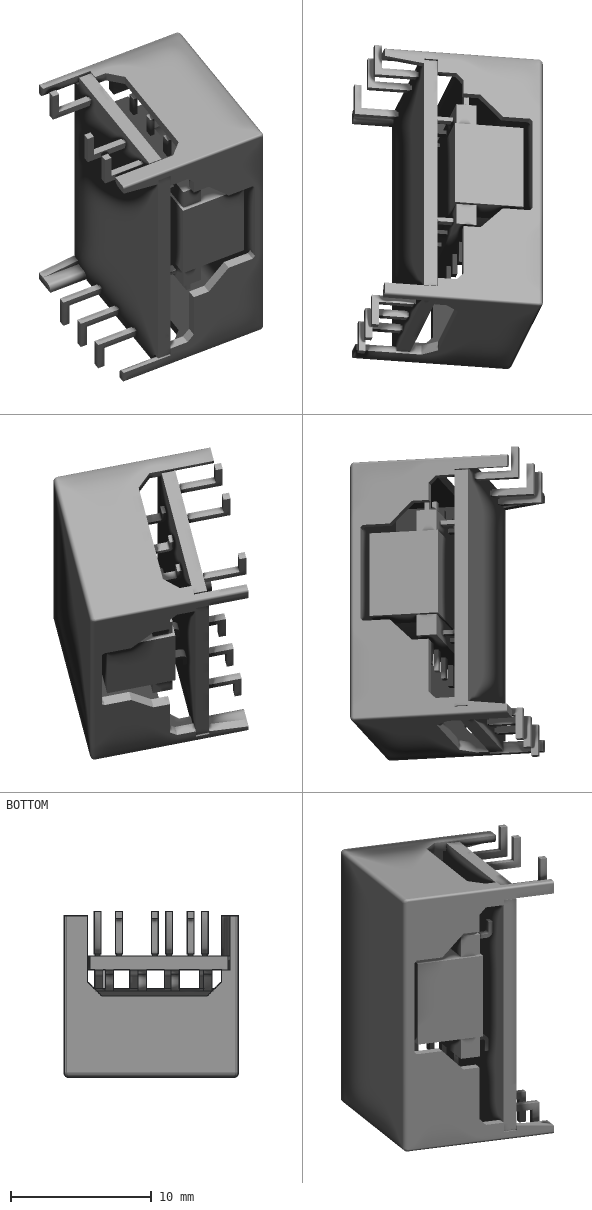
import cadquery as cq


CASE_X = 12.4
CASE_Z = 18.9
CASE_BACK = 11.8
WALL = 0.7
EDGE_ROUND = 0.17
BACK_ROUND = 0.32
CAVITY_ROUND = 0.75
LEG_TIP = 0.32
LEG_THICK = 0.6
LEG_ROUND = 0.42
SIDE_LEG = 0.9
TOP_LEG = 1.22
BOTTOM_LEG = 1.68

BOARD_X = 12.22
BOARD_Z = 18.73
BOARD_FRONT = 3.17
BOARD_BACK = 4.15
NOTCH_GAP = 0.15
NOTCH_GAP_Z = 0.06

HOOK_REACH = 0.35

OPENING_DEPTH = 6.03
END_BEVEL = 1.0
TOP_MARGIN = 1.35
SIDE_BEVEL = 0.5
SIDE_MARGIN = 1.3
FAR_SIDE_MARGIN = 1.55
WINDOW_BACK = 11.0
WINDOW_BEVEL = 0.19
WINDOW_HALF = 3.5
WINDOW_MOUTH_HALF = 5.08
WINDOW_SLOPE_FRONT = 7.25
WINDOW_SLOPE_BACK = 8.86

PIN = 0.5
PIN_PITCH = 2.55
PIN_REACH = 10.5
PIN_SHANK_Z = 8.25
PIN_NECK = 0.15
PIN_NECK_INSET = 0.074
TOP_PINS = [-1.5 * PIN_PITCH, 0.5 * PIN_PITCH, 1.5 * PIN_PITCH]
BOTTOM_MIDDLE_PIN = 0.25
BOTTOM_PINS = [BOTTOM_MIDDLE_PIN + i * PIN_PITCH for i in (-1, 0, 1)]

COIL_Z = 1.3
CORE_X = 11.13
CORE_Z = 6.05
CORE_FRONT = 5.5
CORE_BACK = 10.48
RAIL_X = 10.67
RAIL_Z = 1.51
RAIL_GAP = 0.05
RAIL_FRONT = 5.65
RAIL_BACK = 7.1
WINDING_RADIUS = 4.25
WINDING_BACK = 9.91
LEAD_WIDTH = 0.6
LEAD_THICK = 0.3
LEAD_ROUND = 0.15
LEAD_FOOT = 1.18
LEAD_OFFSET = 0.71
POST_Y = 6.47
POST_THICK = 0.34
POST_LENGTH = 1.53
LEADS_PER_ROW = 4
TOP_LEAD_PITCH = 2.48
BOTTOM_LEAD_PITCH = 2.33
BOTTOM_LEAD_SHIFT = 0.52

HALF_X = CASE_X / 2
HALF_Z = CASE_Z / 2
RAIL_INNER = CORE_Z / 2 + RAIL_GAP
OVERLAP = 0.05


def block(x0, x1, y0, y1, z0, z1):
    return cq.Workplane("XY").box(x1 - x0, y1 - y0, z1 - z0, centered=False).translate((x0, y0, z0))


def case_body():
    """Solid envelope with rounded outer edges, and the box hollowed from it, open at the front."""
    outer = block(-HALF_X, HALF_X, LEG_TIP, CASE_BACK, -HALF_Z, HALF_Z)
    outer = outer.edges("|Y").fillet(EDGE_ROUND)
    outer = outer.faces(">Y").edges().fillet(BACK_ROUND)
    cavity = block(WALL - HALF_X, HALF_X - WALL, LEG_TIP, WINDOW_BACK, WALL - HALF_Z, HALF_Z - WALL)
    cavity = cavity.faces(">Y").edges("|X").fillet(CAVITY_ROUND)
    return outer, outer.cut(cavity)


def end_opening(left_margin, right_margin, z0):
    """Bevelled opening through the top or bottom wall, starting at height z0."""
    left = left_margin - HALF_X
    right = HALF_X - right_margin
    return (
        cq.Workplane("XY", origin=(0, 0, z0))
        .moveTo(left, BOARD_BACK)
        .lineTo(left, OPENING_DEPTH - END_BEVEL)
        .lineTo(left + END_BEVEL, OPENING_DEPTH)
        .lineTo(right - END_BEVEL, OPENING_DEPTH)
        .lineTo(right, OPENING_DEPTH - END_BEVEL)
        .lineTo(right, BOARD_BACK)
        .close()
        .extrude(WALL)
    )


def side_opening(margin, x0):
    """Stepped window through a side wall, starting at x0."""
    reach = HALF_Z - margin
    upper = [
        (BOARD_BACK, reach),
        (OPENING_DEPTH - SIDE_BEVEL, reach),
        (OPENING_DEPTH, reach - SIDE_BEVEL),
        (OPENING_DEPTH, COIL_Z + WINDOW_MOUTH_HALF),
        (WINDOW_SLOPE_FRONT, COIL_Z + WINDOW_MOUTH_HALF),
        (WINDOW_SLOPE_BACK, COIL_Z + WINDOW_HALF),
        (WINDOW_BACK - WINDOW_BEVEL, COIL_Z + WINDOW_HALF),
        (WINDOW_BACK, COIL_Z + WINDOW_HALF - WINDOW_BEVEL),
    ]
    lower = [
        (WINDOW_BACK, COIL_Z - WINDOW_HALF + WINDOW_BEVEL),
        (WINDOW_BACK - WINDOW_BEVEL, COIL_Z - WINDOW_HALF),
        (WINDOW_SLOPE_BACK, COIL_Z - WINDOW_HALF),
        (WINDOW_SLOPE_FRONT, COIL_Z - WINDOW_MOUTH_HALF),
        (OPENING_DEPTH, COIL_Z - WINDOW_MOUTH_HALF),
        (OPENING_DEPTH, SIDE_BEVEL - reach),
        (OPENING_DEPTH - SIDE_BEVEL, -reach),
        (BOARD_BACK, -reach),
    ]
    return cq.Workplane("YZ", origin=(x0, 0, 0)).polyline(upper + lower).close().extrude(WALL)


def corner_block(side_x, side_z, size_x, size_z, y0, y1):
    """Block filling one case corner, rounded on its inner edge."""
    x_edges = sorted((side_x * HALF_X, side_x * (HALF_X - size_x)))
    z_edges = sorted((side_z * HALF_Z, side_z * (HALF_Z - size_z)))
    inner_edge = ("<" if side_x > 0 else ">") + "X"
    inner_face = ("<" if side_z > 0 else ">") + "Z"
    body = block(*x_edges, y0, y1, *z_edges)
    return body.faces(inner_face).edges(inner_edge).fillet(LEG_ROUND)


LEGS = [
    (-1, 1, LEG_THICK, SIDE_LEG),
    (1, -1, LEG_THICK, SIDE_LEG),
    (1, 1, TOP_LEG, LEG_THICK),
    (-1, -1, BOTTOM_LEG, LEG_THICK),
]


def hook(side):
    """Tapered snap hook in front of the board, on the corner where X and Z share one sign."""
    root = HALF_Z - LEG_THICK
    x0 = min(side * HALF_X, side * (HALF_X - LEG_THICK))
    return (
        cq.Workplane("YZ", origin=(x0, 0, 0))
        .moveTo(LEG_TIP, side * (root + OVERLAP))
        .lineTo(LEG_TIP, side * root)
        .lineTo(BOARD_FRONT, side * (root - HOOK_REACH))
        .lineTo(BOARD_FRONT, side * (root + OVERLAP))
        .close()
        .extrude(LEG_THICK)
    )


def case():
    """Case with its wall openings, four corner legs and two hooks."""
    outer, body = case_body()
    body = body.cut(block(-HALF_X, HALF_X, LEG_TIP, BOARD_BACK, -HALF_Z, HALF_Z))
    body = body.cut(end_opening(TOP_MARGIN, TOP_LEG, HALF_Z - WALL))
    body = body.cut(end_opening(BOTTOM_LEG, TOP_LEG, -HALF_Z))
    body = body.cut(side_opening(SIDE_MARGIN, -HALF_X))
    body = body.cut(side_opening(FAR_SIDE_MARGIN, HALF_X - WALL))
    for side_x, side_z, size_x, size_z in LEGS:
        leg = corner_block(side_x, side_z, size_x, size_z, LEG_TIP, BOARD_BACK + OVERLAP)
        body = body.union(leg.intersect(outer))
    for side in (-1, 1):
        body = body.union(hook(side).intersect(outer))
    return body


def board():
    """Circuit board with its corners cut away around the legs."""
    body = block(-BOARD_X / 2, BOARD_X / 2, BOARD_FRONT, BOARD_BACK, -BOARD_Z / 2, BOARD_Z / 2)
    for side_x, side_z, size_x, size_z in LEGS:
        notch = corner_block(
            side_x, side_z, size_x + NOTCH_GAP, size_z + NOTCH_GAP_Z, BOARD_FRONT, BOARD_BACK
        )
        body = body.cut(notch)
    return body


def terminal(x, side):
    """L-shaped pin: a shank out of the board and a foot turned outwards along Z."""
    half = PIN / 2
    neck = half - PIN_NECK_INSET
    shank_mid = PIN_SHANK_Z + half
    shank = block(-half, half, 0, BOARD_FRONT - PIN_NECK, PIN_SHANK_Z, PIN_SHANK_Z + PIN)
    foot = block(-half, half, 0, PIN, PIN_SHANK_Z, PIN_REACH)
    root = block(-neck, neck, PIN, BOARD_FRONT + OVERLAP, shank_mid - neck, shank_mid + neck)
    pin = shank.union(foot).union(root)
    if side < 0:
        pin = pin.mirror("XY")
    return pin.translate((x, 0, 0))


def lead(x):
    """Gull-wing lead from a rail to the back of the board, with a post on the rail above it."""
    half = LEAD_WIDTH / 2
    z0 = RAIL_INNER + LEAD_OFFSET
    arm = block(-half, half, BOARD_BACK, RAIL_FRONT + OVERLAP, z0, z0 + LEAD_THICK)
    foot = block(-half, half, BOARD_BACK, BOARD_BACK + LEAD_THICK, z0, z0 + LEAD_FOOT)
    bend_y = BOARD_BACK + LEAD_THICK
    bend_z = z0 + LEAD_THICK
    inner_bend = cq.selectors.NearestToPointSelector((0, bend_y, bend_z))
    gull = arm.union(foot).edges(inner_bend).fillet(LEAD_ROUND)
    gull = gull.faces("<Z").edges("<Y").fillet(LEAD_ROUND + LEAD_THICK)
    top = RAIL_INNER + RAIL_Z
    post = block(-half, half, POST_Y, POST_Y + POST_THICK, top - OVERLAP, top + POST_LENGTH)
    return gull.union(post).translate((x, 0, 0))


def transformer():
    """Core block, winding and the two rails of leads, centred on COIL_Z."""
    core = block(-CORE_X / 2, CORE_X / 2, CORE_FRONT, CORE_BACK, -CORE_Z / 2, CORE_Z / 2)
    winding = (
        cq.Workplane("XZ", origin=(0, WINDING_BACK, 0))
        .circle(WINDING_RADIUS)
        .extrude(WINDING_BACK - RAIL_FRONT)
    )
    body = core.union(winding)
    rows = [(1, TOP_LEAD_PITCH, 0), (-1, BOTTOM_LEAD_PITCH, BOTTOM_LEAD_SHIFT)]
    for side, pitch, shift in rows:
        row = block(-RAIL_X / 2, RAIL_X / 2, RAIL_FRONT, RAIL_BACK, RAIL_INNER, RAIL_INNER + RAIL_Z)
        for i in range(LEADS_PER_ROW):
            row = row.union(lead(shift + (i - (LEADS_PER_ROW - 1) / 2) * pitch))
        if side < 0:
            row = row.mirror("XY")
        body = body.union(row)
    return body.translate((0, 0, COIL_Z))


result = case().union(board()).union(transformer())
for pin_x in TOP_PINS:
    result = result.union(terminal(pin_x, 1))
for pin_x in BOTTOM_PINS:
    result = result.union(terminal(pin_x, -1))